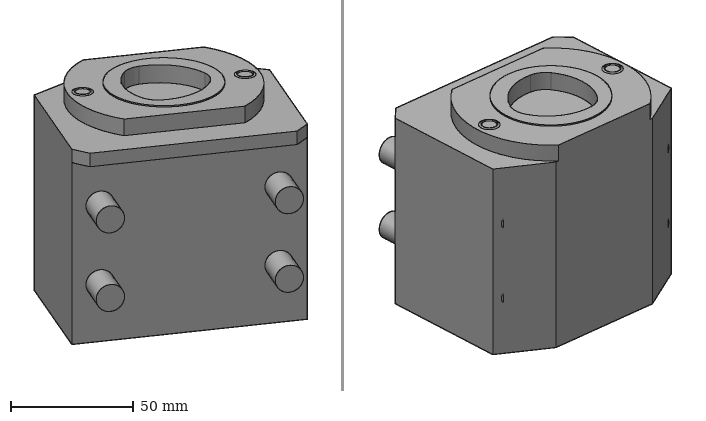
import cadquery as cq
import math

width = 100.0
block_depth = 72.0
block_height = 87.0
front_flat_width = 54.0
front_face_slant = 60.0

lip_reach = 6.0
lip_height = 6.0
lip_chamfer = 6.0

axis_x = 32.0
flange_diameter = 82.0
flange_height = 7.4
seat_diameter = 50.0
seat_height = 0.6

bore_lobes = 3
bore_corner_offset = 9.4
bore_corner_radius = 10.1
bore_corner_half_angle = 25.0

ridge_offset = 34.5
ridge_outer_radius = 4.4
ridge_crest_radius = 3.5
ridge_inner_radius = 3.1
ridge_height = 0.4

pin_diameter = 12.0
pin_length = 16.0
pin_offset = 38.0
row_heights = (26.0, 61.0)
head_diameter = 17.8
head_front_x = 11.0
head_rounding = 0.8

flange_top = block_height + flange_height
seat_top = flange_top + seat_height


def housing_block():
    half_width = width / 2
    half_flat = front_flat_width / 2
    slant_depth = (half_width - half_flat) / math.tan(math.radians(front_face_slant))
    return (
        cq.Workplane("XY")
        .polyline([
            (0, -half_flat),
            (slant_depth, -half_width),
            (block_depth, -half_width),
            (block_depth, half_width),
            (slant_depth, half_width),
            (0, half_flat),
        ])
        .close()
        .extrude(block_height)
    )


def rear_lip():
    lip = cq.Workplane("XY").box(lip_reach, width, lip_height, centered=(False, True, False))
    lip = lip.translate((block_depth, 0, block_height - lip_height))
    half_width = width / 2
    rear_x = block_depth + lip_reach
    for side in (-1, 1):
        corner = (
            cq.Workplane("XY", origin=(0, 0, block_height - lip_height))
            .polyline([
                (rear_x, side * half_width),
                (rear_x - lip_chamfer, side * half_width),
                (rear_x, side * (half_width - lip_chamfer)),
            ])
            .close()
            .extrude(lip_height)
        )
        lip = lip.cut(corner)
    return lip


def flange():
    disc = cq.Workplane("XY").circle(flange_diameter / 2).extrude(flange_height)
    flats = cq.Workplane("XY").rect(2 * axis_x, flange_diameter).extrude(flange_height)
    seat = cq.Workplane("XY", origin=(0, 0, flange_height)).circle(seat_diameter / 2).extrude(seat_height)
    return disc.intersect(flats).union(seat).translate((axis_x, 0, block_height))


def polar(radius, degrees, centre=(0, 0)):
    angle = math.radians(degrees)
    return centre[0] + radius * math.cos(angle), centre[1] + radius * math.sin(angle)


def coupling_bore():
    lobe_step = 360 / bore_lobes
    side_half_angle = lobe_step / 2 - bore_corner_half_angle
    sine_ratio = bore_corner_offset / math.sin(math.radians(side_half_angle))
    side_radius = bore_corner_radius + sine_ratio * math.sin(math.radians(lobe_step))
    side_offset = sine_ratio * math.sin(math.radians(bore_corner_half_angle))

    first_corner = polar(bore_corner_offset, 90)
    outline = cq.Workplane("XY", origin=(axis_x, 0, block_height))
    outline = outline.moveTo(*polar(bore_corner_radius, 90 - bore_corner_half_angle, first_corner))
    for lobe in range(bore_lobes):
        corner_angle = 90 + lobe * lobe_step
        corner_centre = polar(bore_corner_offset, corner_angle)
        outline = outline.threePointArc(
            polar(bore_corner_radius, corner_angle, corner_centre),
            polar(bore_corner_radius, corner_angle + bore_corner_half_angle, corner_centre),
        )
        side_angle = corner_angle + lobe_step / 2
        side_centre = polar(side_offset, side_angle + 180)
        outline = outline.threePointArc(
            polar(side_radius, side_angle, side_centre),
            polar(side_radius, side_angle + side_half_angle, side_centre),
        )
    return outline.close().extrude(seat_top - block_height)


def sealing_ridge(side):
    ridge = (
        cq.Workplane("XZ")
        .polyline([(ridge_inner_radius, 0), (ridge_outer_radius, 0), (ridge_crest_radius, ridge_height)])
        .close()
        .revolve(360, (0, 0, 0), (0, 1, 0))
    )
    return ridge.translate((axis_x, side * ridge_offset, flange_top))


def pin(side, row_z):
    axis_start = (0, side * pin_offset, row_z)
    shank = (
        cq.Workplane("YZ", origin=axis_start)
        .workplane(offset=block_depth)
        .circle(pin_diameter / 2)
        .extrude(pin_length)
    )
    head = (
        cq.Workplane("YZ", origin=axis_start)
        .workplane(offset=head_front_x)
        .circle(head_diameter / 2)
        .extrude(block_depth - head_front_x)
        .faces("<X")
        .edges()
        .fillet(head_rounding)
    )
    return shank.union(head)


result = housing_block().union(rear_lip()).union(flange()).cut(coupling_bore())
for side in (-1, 1):
    result = result.union(sealing_ridge(side))
    for row_z in row_heights:
        result = result.union(pin(side, row_z))